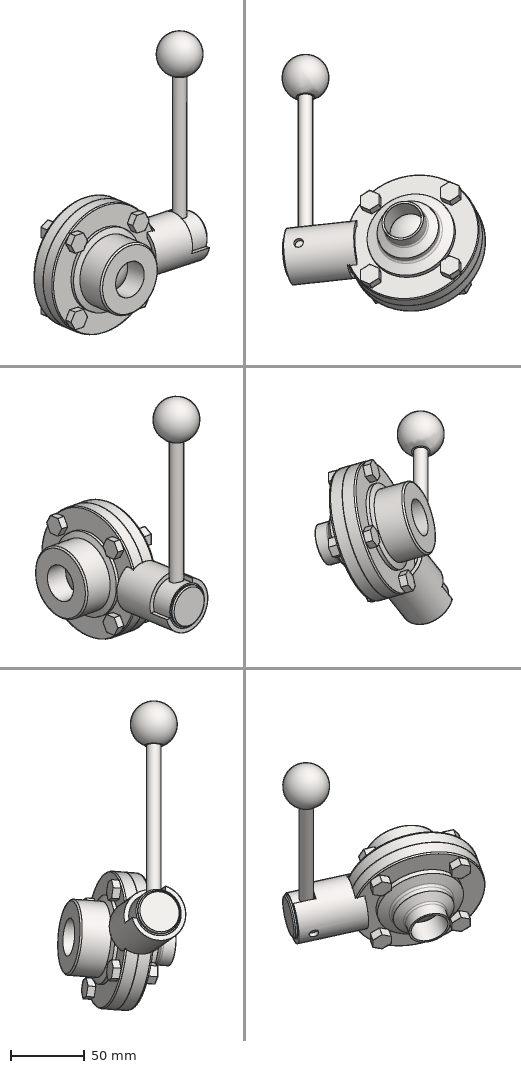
import cadquery as cq
import math

flange_dia = 94.0
flange_thickness = 10.0
flange_gap = 0.2
flange_face = flange_gap / 2 + flange_thickness
flange_bevel_width = 1.25
flange_bevel_depth = 0.6
end_to_center = 36.0
bore_dia = 26.0
hub_dia = 61.0
hub_taper_angle = 18.0

left_hub_end = 13.6
collar_dia = 43.0
collar_end = 21.6
pipe_dia = 29.0
collar_taper_end = 26.2
neck_fillet = 2.0

right_hub_end = 12.6
spigot_dia = 52.0
spigot_chamfer = 1.2

bolt_offset = 28.0
hex_across_flats = 13.0
head_height = 6.4
nut_height = 5.6

ball_dia = 46.0
stem_dia = 8.5

sleeve_dia = 39.0
sleeve_bore_dia = 32.4
sleeve_inner_end = 38.4
sleeve_outer_end = 87.5
straddle_bottom = 45.1
pin_hole_dia = 6.5

lever_y = 77.0
rod_dia = 10.0
spool_dia = 32.2
spool_end = 89.7
spool_end_dia = 30.0
spool_chamfer = 1.0
spool_clearance = 1.0
knob_dia = 32.0
knob_z = 134.0
knob_flat_drop = 14.7
lever_window_edge = 71.5


def revolve_about_x(profile):
    """Turn a closed profile drawn in the XY plane about the X axis."""
    return profile.close().revolve(360, (0, 0, 0), (1, 0, 0))


def hexagons(face_x, height, turn):
    """Four hexagonal prisms on the bolt pattern, growing along X from face_x."""
    corner_dia = hex_across_flats / math.cos(math.pi / 6)
    prisms = cq.Workplane("XY")
    for y in (-bolt_offset, bolt_offset):
        for z in (-bolt_offset, bolt_offset):
            prism = cq.Workplane("YZ").polygon(6, corner_dia).extrude(height)
            prism = prism.rotate((0, 0, 0), (1, 0, 0), turn)
            prisms = prisms.add(prism.translate((face_x, y, z)))
    return prisms.combine()


def hub_taper_length(inner_dia):
    """Axial length of the hub's conical face down to inner_dia."""
    return (hub_dia - inner_dia) / 2 * math.tan(math.radians(hub_taper_angle))


def flange_disc(side):
    """One flange with a bevelled outer edge; side is -1 or +1 along X."""
    radius = flange_dia / 2
    inner = side * flange_gap / 2
    face = side * flange_face
    bevel_start = side * (flange_face - flange_bevel_width)
    profile = (
        cq.Workplane("XY")
        .moveTo(inner, 0)
        .lineTo(inner, radius)
        .lineTo(bevel_start, radius)
        .lineTo(face, radius - flange_bevel_depth)
        .lineTo(face, 0)
    )
    return revolve_about_x(profile)


def cut_interior(half):
    """Remove the flow bore, the ball seat and the stem hole."""
    bore = cq.Workplane("YZ").circle(bore_dia / 2).extrude(end_to_center, both=True)
    return half.cut(bore).cut(ball_and_stem())


def ball_and_stem():
    """Closing ball at the origin with its stem reaching past the flange rim."""
    ball = cq.Workplane("XY").sphere(ball_dia / 2).rotate((0, 0, 0), (0, 0, 1), 90)
    stem_length = flange_dia / 2 + spool_clearance
    stem = cq.Workplane("XZ").circle(stem_dia / 2).extrude(-stem_length)
    return ball.union(stem)


def pipe_half():
    """The -X half: flange, tapered hub, collar and pipe end, with bolt heads."""
    taper_end = left_hub_end + hub_taper_length(collar_dia)
    neck = revolve_about_x(
        cq.Workplane("XY")
        .moveTo(-flange_gap / 2, 0)
        .lineTo(-flange_gap / 2, hub_dia / 2)
        .lineTo(-left_hub_end, hub_dia / 2)
        .lineTo(-taper_end, collar_dia / 2)
        .lineTo(-collar_end, collar_dia / 2)
        .lineTo(-collar_taper_end, pipe_dia / 2)
        .lineTo(-end_to_center, pipe_dia / 2)
        .lineTo(-end_to_center, 0)
    )
    for corner_x in (-taper_end, -collar_taper_end):
        corner = cq.NearestToPointSelector((corner_x, 0, 0))
        neck = neck.edges("%CIRCLE").edges(corner).fillet(neck_fillet)
    heads = hexagons(-flange_face - head_height, head_height, 30)
    return cut_interior(flange_disc(-1).union(neck).union(heads))


def spigot_half():
    """The +X half: flange, tapered hub and plain spigot, with nuts."""
    neck = revolve_about_x(
        cq.Workplane("XY")
        .moveTo(flange_gap / 2, 0)
        .lineTo(flange_gap / 2, hub_dia / 2)
        .lineTo(right_hub_end, hub_dia / 2)
        .lineTo(right_hub_end + hub_taper_length(spigot_dia), spigot_dia / 2)
        .lineTo(end_to_center, spigot_dia / 2)
        .lineTo(end_to_center, 0)
    )
    neck = neck.faces(">X").edges().chamfer(spigot_chamfer)
    nuts = hexagons(flange_face, nut_height, 0)
    return cut_interior(flange_disc(1).union(neck).union(nuts))


def sleeve_body():
    """Tube along Y with a straddle slot, a lever window and a pin hole."""
    length = sleeve_outer_end - sleeve_inner_end
    tube = (
        cq.Workplane("XZ", origin=(0, sleeve_inner_end, 0))
        .circle(sleeve_dia / 2)
        .circle(sleeve_bore_dia / 2)
        .extrude(-length)
    )
    straddle = cq.Workplane("XY").box(
        2 * flange_face, straddle_bottom, sleeve_dia, centered=(True, False, True)
    )
    window = (
        cq.Workplane("XY")
        .box(sleeve_dia, length, sleeve_dia, centered=False)
        .translate((-rod_dia / 2, lever_window_edge, -rod_dia / 2))
    )
    pin_hole = (
        cq.Workplane("YZ")
        .center(lever_y, 0)
        .circle(pin_hole_dia / 2)
        .extrude(-sleeve_dia)
    )
    return tube.cut(straddle).cut(window).cut(pin_hole)


def handle_body():
    """Closing ball, stem, spool, lever rod and knob in one piece."""
    spool_start = flange_dia / 2 + spool_clearance
    spool = (
        cq.Workplane("XZ", origin=(0, spool_start, 0))
        .circle(spool_dia / 2)
        .extrude(spool_start - sleeve_outer_end)
        .faces(">Y")
        .workplane()
        .circle(spool_end_dia / 2)
        .extrude(spool_end - sleeve_outer_end)
        .faces(">Y")
        .edges()
        .chamfer(spool_chamfer)
    )
    rod = cq.Workplane("XY").center(0, lever_y).circle(rod_dia / 2).extrude(knob_z)
    below_flat = (
        cq.Workplane("XY", origin=(0, 0, -knob_flat_drop))
        .rect(knob_dia, knob_dia)
        .extrude(-knob_dia)
    )
    knob = (
        cq.Workplane("XY")
        .sphere(knob_dia / 2)
        .rotate((0, 0, 0), (0, 1, 0), 90)
        .cut(below_flat)
        .translate((0, lever_y, knob_z))
    )
    return ball_and_stem().union(spool).union(rod).union(knob)


pipe_side = pipe_half()
spigot_side = spigot_half()
sleeve = sleeve_body()
handle = handle_body()

result = cq.Compound.makeCompound(
    [pipe_side.val(), spigot_side.val(), sleeve.val(), handle.val()]
)